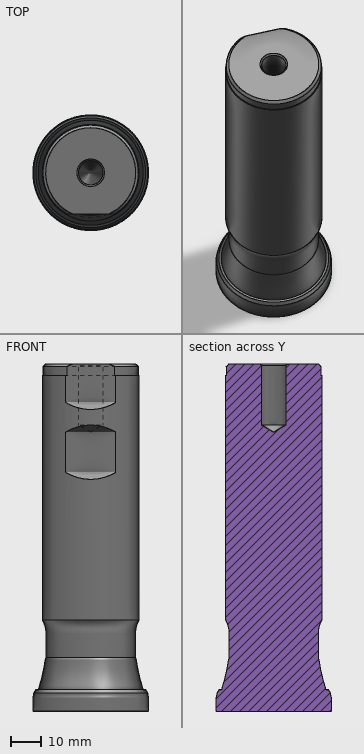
import cadquery as cq
import math

total_height = 114.3
collar_foot_bevel = 0.2
collar_land_top = 4.6
collar_bevel_top = 5.3
collar_band_top = 6.1
collar_top = 7.2
flare_middle = 12.1
flare_top = 17.0
neck_bottom = 17.7
neck_top = 25.7
shank_bottom = 30.1
head_bottom = 110.5
head_chamfer_bottom = 113.5

collar_diameter = 38.1
shank_diameter = 31.8
top_face_diameter = 29.6

collar_radius = collar_diameter / 2
collar_bevel_radius = 18.9
collar_band_radius = 18.7
collar_top_radius = 18.1
flare_base_radius = 17.3
flare_middle_radius = 15.9
flare_top_radius = 15.0
neck_radius = 14.7
shank_radius = shank_diameter / 2
head_radius = 15.7
top_face_radius = top_face_diameter / 2

flat_offset = 13.6
upper_flat_bottom = 101.6
lower_flat_top = 91.9
lower_flat_bottom = 78.6
flat_corner_fillet = 0.6

hole_diameter = 8.0
hole_mouth_diameter = 9.0
hole_depth = 20.0
drill_point_angle = 118.0


def make_body():
    """Turned body: collar, flare, neck, shank and stepped head."""
    return (
        cq.Workplane("XZ")
        .lineTo(collar_radius - collar_foot_bevel, 0)
        .lineTo(collar_radius, collar_foot_bevel)
        .lineTo(collar_radius, collar_land_top)
        .lineTo(collar_bevel_radius, collar_bevel_top)
        .lineTo(collar_band_radius, collar_band_top)
        .lineTo(collar_top_radius, collar_top)
        .lineTo(flare_base_radius, collar_top)
        .threePointArc((flare_middle_radius, flare_middle), (flare_top_radius, flare_top))
        .lineTo(neck_radius, neck_bottom)
        .lineTo(neck_radius, neck_top)
        .tangentArcPoint((shank_radius, shank_bottom), relative=False)
        .lineTo(shank_radius, head_bottom)
        .lineTo(head_radius, head_bottom)
        .lineTo(head_radius, head_chamfer_bottom)
        .lineTo(top_face_radius, total_height)
        .lineTo(0, total_height)
        .close()
        .revolve(360, (0, 0, 0), (0, 1, 0))
    )


def make_flat_cutter(bottom, top, sloped_top):
    """Block that cuts one flat, with 45 degree slopes at its closed ends."""
    reach = collar_radius - flat_offset
    upper_outer = top + reach if sloped_top else top
    cutter = (
        cq.Workplane("YZ")
        .moveTo(-flat_offset, bottom)
        .lineTo(-flat_offset, top)
        .lineTo(-flat_offset - reach, upper_outer)
        .lineTo(-flat_offset - reach, bottom - reach)
        .close()
        .extrude(shank_radius, both=True)
    )
    corners = "|X" if sloped_top else "|X and <Z"
    return cutter.faces(">Y").edges(corners).fillet(flat_corner_fillet)


def make_hole_cutter():
    """Countersunk blind hole with a drill point."""
    radius = hole_diameter / 2
    mouth_radius = hole_mouth_diameter / 2
    floor = total_height - hole_depth
    point_length = radius / math.tan(math.radians(drill_point_angle / 2))
    return (
        cq.Workplane("XZ")
        .moveTo(0, total_height)
        .lineTo(mouth_radius, total_height)
        .lineTo(radius, total_height - (mouth_radius - radius))
        .lineTo(radius, floor)
        .lineTo(0, floor - point_length)
        .close()
        .revolve(360, (0, 0, 0), (0, 1, 0))
    )


result = (
    make_body()
    .cut(make_flat_cutter(upper_flat_bottom, total_height, sloped_top=False))
    .cut(make_flat_cutter(lower_flat_bottom, lower_flat_top, sloped_top=True))
    .cut(make_hole_cutter())
)